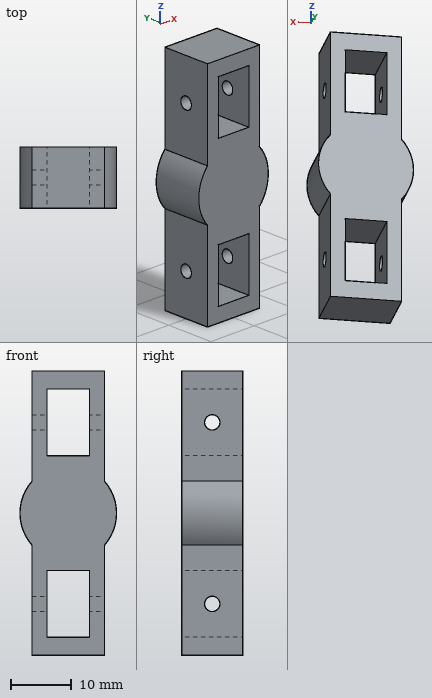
import cadquery as cq

BAR_WIDTH = 12.0
BAR_DEPTH = 10.16
BAR_HEIGHT = 47.0

HUB_DIAMETER = 16.0

WINDOW_WIDTH = 7.0
WINDOW_HEIGHT = 11.0
END_WALL = 3.0
WINDOW_OFFSET = BAR_HEIGHT / 2 - END_WALL - WINDOW_HEIGHT / 2

PIN_HOLE_DIAMETER = 2.5


def make_body():
    """Bar joined with the hub; both have the same depth."""
    bar = cq.Workplane("XY").box(BAR_WIDTH, BAR_DEPTH, BAR_HEIGHT)
    hub = cq.Workplane("XZ").circle(HUB_DIAMETER / 2).extrude(BAR_DEPTH / 2, both=True)
    return bar.union(hub)


def make_window(z):
    """Cutter for a window through the full depth, centred at height z."""
    window = cq.Workplane("XY").box(WINDOW_WIDTH, BAR_DEPTH, WINDOW_HEIGHT)
    return window.translate((0, 0, z))


def make_pin_hole(z):
    """Cutter for a hole along X through both side walls at height z."""
    hole = cq.Workplane("YZ").circle(PIN_HOLE_DIAMETER / 2).extrude(BAR_WIDTH / 2, both=True)
    return hole.translate((0, 0, z))


result = make_body()
for arm_z in (-WINDOW_OFFSET, WINDOW_OFFSET):
    result = result.cut(make_window(arm_z))
    result = result.cut(make_pin_hole(arm_z))